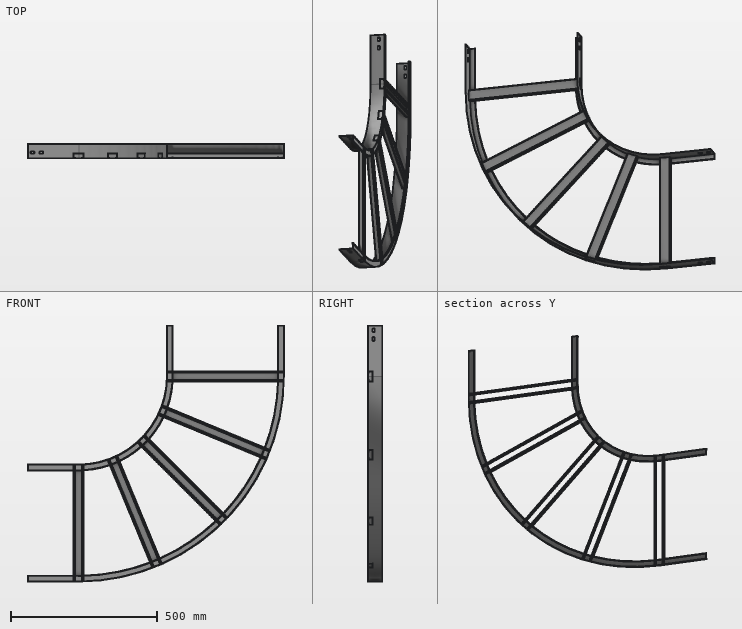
import cadquery as cq
import math

overall_size = 873.0
rail_height = 50.0
straight_length = 173.0
ladder_width = 400.0
sheet = 1.5

flange_width = 21.0
lip_depth = 4.0
fold_radius = 2.0

rung_count = 5
rung_width = 36.0
rung_depth = 16.0
rung_lip = 6.55

slot_length = 13.0
slot_width = 7.0
slot_height = 20.0
slot_distances = (16.0, 45.0)

bend_angle = 90.0
outer_radius = overall_size - straight_length
inner_radius = outer_radius - ladder_width
bend_centre = (straight_length, 0, outer_radius)


def rail_profile(web_radius, inward):
    """Rail section at +X of the bend centre; inward is the sign of X towards the other rail."""
    web_inside = web_radius + inward * sheet
    lip_outside = web_radius + inward * flange_width
    lip_inside = lip_outside - inward * sheet
    fold = inward * fold_radius
    fold_middle = fold_radius * (1 - math.sqrt(0.5))
    return (
        cq.Workplane("XY")
        .moveTo(web_radius, fold_radius)
        .lineTo(web_radius, rail_height)
        .lineTo(web_inside, rail_height)
        .lineTo(web_inside, sheet)
        .lineTo(lip_inside, sheet)
        .lineTo(lip_inside, lip_depth)
        .lineTo(lip_outside, lip_depth)
        .lineTo(lip_outside, fold_radius)
        .threePointArc((lip_outside - inward * fold_middle, fold_middle), (lip_outside - fold, 0))
        .lineTo(web_radius + fold, 0)
        .threePointArc((web_radius + inward * fold_middle, fold_middle), (web_radius, fold_radius))
        .close()
    )


def slot_cutter(web_radius):
    """Slots along Z that pass through the web of an upright straight end."""
    points = [(slot_height, straight_length - distance) for distance in slot_distances]
    return (
        cq.Workplane("YZ", origin=(web_radius - sheet * 2, 0, 0))
        .pushPoints(points)
        .slot2D(slot_length, slot_width, 90)
        .extrude(sheet * 4)
    )


def swap_ends(upright):
    """Turn an upright end of a rail into the matching level end."""
    mirrored = upright.mirror("XY")
    return mirrored.rotate((0, 0, 0), (0, 1, 0), bend_angle)


def rail(web_radius, inward):
    """Rail around the origin: a bend from +X to -Z with a straight end on each side."""
    bend = rail_profile(web_radius, inward).revolve(bend_angle, (0, 0, 0), (0, 1, 0))
    upright = rail_profile(web_radius, inward).extrude(straight_length)
    upright = upright.cut(slot_cutter(web_radius))
    return bend.union(upright).union(swap_ends(upright))


def rung(angle):
    """Lipped channel ending inside both webs, turned from +X towards -Z."""
    start = inner_radius + sheet / 2
    length = ladder_width - sheet
    channel = cq.Workplane("YZ", origin=(start, 0, 0)).center(sheet + rung_depth / 2, 0)
    body = channel.rect(rung_depth, rung_width).extrude(length)
    hollow = channel.rect(rung_depth - 2 * sheet, rung_width - 2 * sheet).extrude(length)
    front = channel.center(-rung_depth / 2, 0)
    mouth = front.rect(2 * sheet, rung_width - 2 * rung_lip).extrude(length)
    return body.cut(hollow).cut(mouth).rotate((0, 0, 0), (0, 1, 0), angle)


ladder = rail(inner_radius, 1)
ladder = ladder.union(rail(outer_radius, -1))
for index in range(rung_count):
    ladder = ladder.union(rung(index * bend_angle / (rung_count - 1)))

result = ladder.translate(bend_centre)